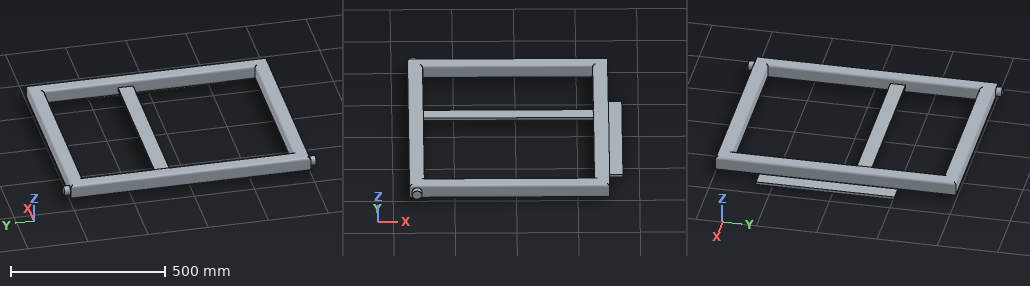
import cadquery as cq

frame_width = 650.0
frame_length = 800.0
rail_size = 49.5
edge_radius = 9.0

crossbar_width = 50.0
crossbar_thickness = 10.0
crossbar_center_y = 80.0
crossbar_center_z = 0.0

plate_width = 80.0
plate_length = 460.0
plate_thickness = 10.0
plate_overhang = 44.5
plate_center_y = -25.0

pin_diameter = 32.0
pin_length = 20.0
front_pin_inset = rail_size / 2
rear_pin_inset = 18.5

frame_left = -frame_width / 2
frame_right = frame_width / 2
opening_width = frame_width - 2 * rail_size
opening_length = frame_length - 2 * rail_size


def make_frame():
    """Rectangular frame centred on the origin, rounded along every rail."""
    frame = (
        cq.Workplane("XY")
        .box(frame_width, frame_length, rail_size)
        .cut(cq.Workplane("XY").box(opening_width, opening_length, rail_size))
    )
    return frame.faces("<Z or >Z").edges().fillet(edge_radius)


def make_crossbar():
    """Flat bar spanning the opening."""
    return (
        cq.Workplane("XY")
        .box(opening_width, crossbar_width, crossbar_thickness)
        .translate((0, crossbar_center_y, crossbar_center_z))
    )


def make_plate():
    """Plate lying against the underside of the right rail."""
    center_x = frame_right + plate_overhang - plate_width / 2
    center_z = -(rail_size + plate_thickness) / 2
    return (
        cq.Workplane("XY")
        .box(plate_width, plate_length, plate_thickness)
        .translate((center_x, plate_center_y, center_z))
    )


def make_pin(inset, side):
    """Pin along Y on one end rail; side is -1 for the front and +1 for the rear."""
    return cq.Workplane(
        cq.Plane(
            origin=(frame_left + inset, side * frame_length / 2, 0),
            xDir=(1, 0, 0),
            normal=(0, side, 0),
        )
    ).circle(pin_diameter / 2).extrude(pin_length)


result = (
    make_frame()
    .union(make_crossbar())
    .union(make_plate())
    .union(make_pin(front_pin_inset, -1))
    .union(make_pin(rear_pin_inset, 1))
)